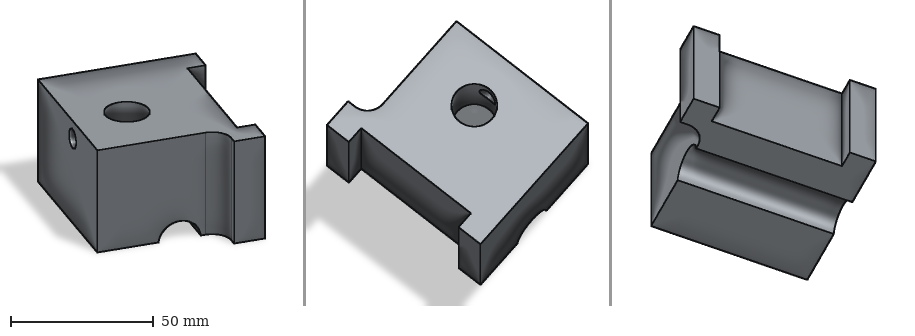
import cadquery as cq

length = 70.0
depth = 59.0
height = 40.0

tab_width = 10.0
recess_depth = 6.8
body_length = length - tab_width
overhang_depth = 11.6
corner_radius = 7.0

bore_diameter = 16.0
bore_depth = 20.0
bore_x = length / 2
bore_y = 20.3

cross_diameter = 7.2
cross_z = height - 7.0

groove_radius = 8.0
groove_y = 30.8
groove_axis_z = -1.0


def make_body():
    """Block with two rear tabs; the right one overhangs through a concave corner."""
    overhang_y = depth - overhang_depth
    recess_y = depth - recess_depth
    return (
        cq.Workplane("XY")
        .lineTo(body_length, 0)
        .lineTo(body_length, overhang_y - corner_radius)
        .radiusArc((body_length + corner_radius, overhang_y), corner_radius)
        .lineTo(length, overhang_y)
        .lineTo(length, depth)
        .lineTo(body_length, depth)
        .lineTo(body_length, recess_y)
        .lineTo(tab_width, recess_y)
        .lineTo(tab_width, depth)
        .lineTo(0, depth)
        .close()
        .extrude(height)
    )


def make_bore():
    floor_z = height - bore_depth
    return (
        cq.Workplane("XY", origin=(bore_x, bore_y, floor_z))
        .circle(bore_diameter / 2)
        .extrude(bore_depth)
    )


def make_cross_hole():
    """Runs from the front face to the bore axis."""
    return (
        cq.Workplane("XZ", origin=(bore_x, bore_y, cross_z))
        .circle(cross_diameter / 2)
        .extrude(bore_y)
    )


def make_groove():
    return (
        cq.Workplane("YZ", origin=(0, groove_y, groove_axis_z))
        .circle(groove_radius)
        .extrude(length)
    )


result = make_body().cut(make_bore()).cut(make_cross_hole()).cut(make_groove())